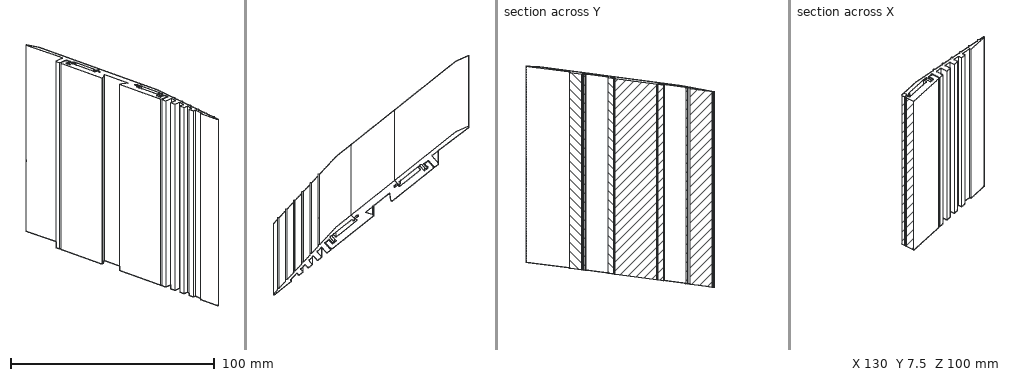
import cadquery as cq
import math

LENGTH = 100.0
WIDTH = 130.0
HEIGHT = 7.5
CENTRE_X = 60.0

SEAM = 14.0
RECESS_END = 11.5
RECESS_CHAMFER = 0.4
CAVITY_END = 13.6
CAVITY_FLOOR = 3.5
LEDGE_TOP = 4.75
COVER_UNDERSIDE = 5.5
WALL_INNER = 27.2
WALL_OUTER = 28.3
WALL_TOP = 5.2
SLOT_FLOOR = 1.9
LIP_INNER = 30.8
BASE_EDGE = 33.0
LIP_TOP = 4.6
BASE_CHAMFER = 0.45
DOVETAIL_TOP = 7.7
DOVETAIL_MOUTH = 5.75
DOVETAIL_ROOF = 4.0
DOVETAIL_LAND = 0.9

LEG_INNER = 33.35
LIP_ROOF = 4.8
HOOK_OUTER = 30.4
HOOK_INNER = 29.5
HOOK_ROOT_CHAMFER = 0.4
STOP_OUTER = 15.2
STOP_INNER = 14.2
STOP_BOTTOM = 4.3
STOP_CHAMFER = 0.3
TONGUE_TIP = 12.1
TONGUE_CHAMFER = 0.4
TONGUE_BOTTOM = LEDGE_TOP

LEFT_TIP_BOTTOM = 5.0
LEFT_TIP_TOP = 5.7
LEFT_SLOPE_ANGLE = 15.0
LEFT_SLOPE_LENGTH = (HEIGHT - LEFT_TIP_TOP) / math.tan(math.radians(LEFT_SLOPE_ANGLE))
LEFT_FLAT_START = 20.0
LEFT_LEG_OUTER = 36.2
LEG_CHAMFER = 0.5

TIP_FILLET = 0.3

RAMP_START = 83.7
RIGHT_TIP_HEIGHT = 0.55
RIB_PITCH = 6.0
RIB_WIDTH = 2.8
RIB_COUNT = 3
RIGHT_LEG_OUTER = 36.0
RIGHT_LEG_OUTER_X = CENTRE_X + RIGHT_LEG_OUTER
WEDGE_START = 118.8
CEILING_START = 4.1
CEILING_END = 0.8
RIDGE_COUNT = 6
RIDGE_START = 96.3
RIDGE_RADIUS = 0.5

RAMP_SLOPE = (HEIGHT - RIGHT_TIP_HEIGHT) / (WIDTH - RAMP_START)
CEILING_SLOPE = (CEILING_START - CEILING_END) / (WEDGE_START - RIGHT_LEG_OUTER_X)


def prism(points):
    return cq.Workplane("XY").polyline(points).close().extrude(LENGTH)


def place(half_points, side):
    """Turn (distance from symmetry plane, height) into XY points; side is -1 left, +1 right."""
    return [(CENTRE_X + side * distance, y) for distance, y in half_points]


def base_rail():
    half = [
        (SEAM, HEIGHT),
        (SEAM, COVER_UNDERSIDE),
        (RECESS_END + RECESS_CHAMFER, COVER_UNDERSIDE),
        (RECESS_END, COVER_UNDERSIDE - RECESS_CHAMFER),
        (RECESS_END, LEDGE_TOP),
        (CAVITY_END, LEDGE_TOP),
        (CAVITY_END, CAVITY_FLOOR),
        (WALL_INNER, CAVITY_FLOOR),
        (WALL_INNER, WALL_TOP),
        (WALL_OUTER, WALL_TOP),
        (WALL_OUTER, SLOT_FLOOR),
        (LIP_INNER, SLOT_FLOOR),
        (LIP_INNER, LIP_TOP),
        (BASE_EDGE - BASE_CHAMFER, LIP_TOP),
        (BASE_EDGE, LIP_TOP - BASE_CHAMFER),
        (BASE_EDGE, BASE_CHAMFER),
        (BASE_EDGE - BASE_CHAMFER, 0),
        (DOVETAIL_MOUTH, 0),
        (DOVETAIL_MOUTH, DOVETAIL_LAND),
        (DOVETAIL_TOP, DOVETAIL_ROOF),
    ]
    return prism(place(half, -1) + place(half[::-1], 1))


CLIP = [
    (LEG_INNER, 0),
    (LEG_INNER, LIP_ROOF),
    (HOOK_OUTER, LIP_ROOF),
    (HOOK_OUTER, SLOT_FLOOR),
    (HOOK_INNER, SLOT_FLOOR),
    (HOOK_INNER, COVER_UNDERSIDE - HOOK_ROOT_CHAMFER),
    (HOOK_INNER - HOOK_ROOT_CHAMFER, COVER_UNDERSIDE),
    (STOP_OUTER, COVER_UNDERSIDE),
    (STOP_OUTER, STOP_BOTTOM + STOP_CHAMFER),
    (STOP_OUTER - STOP_CHAMFER, STOP_BOTTOM),
    (STOP_INNER + STOP_CHAMFER, STOP_BOTTOM),
    (STOP_INNER, STOP_BOTTOM + STOP_CHAMFER),
    (STOP_INNER, TONGUE_BOTTOM),
    (TONGUE_TIP, TONGUE_BOTTOM),
    (TONGUE_TIP, COVER_UNDERSIDE - TONGUE_CHAMFER),
    (TONGUE_TIP + TONGUE_CHAMFER, COVER_UNDERSIDE),
    (SEAM, COVER_UNDERSIDE),
    (SEAM, HEIGHT),
]


def left_cover():
    leg_x = CENTRE_X - LEFT_LEG_OUTER
    outline = place(CLIP, -1) + [
        (LEFT_SLOPE_LENGTH, HEIGHT),
        (0, LEFT_TIP_TOP),
        (0, LEFT_TIP_BOTTOM),
        (LEFT_FLAT_START, COVER_UNDERSIDE),
        (leg_x, COVER_UNDERSIDE),
        (leg_x, LEG_CHAMFER),
        (leg_x + LEG_CHAMFER, 0),
    ]
    cover = prism(outline)
    lower_tip_edge = cq.selectors.NearestToPointSelector((0, LEFT_TIP_BOTTOM, LENGTH / 2))
    return cover.edges("|Z").edges(lower_tip_edge).fillet(TIP_FILLET)


def ramp_top(x):
    return HEIGHT - RAMP_SLOPE * (x - RAMP_START)


def ceiling(x):
    return CEILING_START - CEILING_SLOPE * (x - RIGHT_LEG_OUTER_X)


def right_cover():
    outline = place(CLIP, 1) + [
        (RAMP_START, HEIGHT),
        (WIDTH, RIGHT_TIP_HEIGHT),
        (WIDTH, 0),
        (WEDGE_START, 0),
        (WEDGE_START, CEILING_END),
    ]
    for rib in range(RIB_COUNT, 0, -1):
        rib_end = RIGHT_LEG_OUTER_X + rib * RIB_PITCH
        rib_start = rib_end - RIB_WIDTH
        outline += [
            (rib_end, ceiling(rib_end)),
            (rib_end, 0),
            (rib_start, 0),
            (rib_start, ceiling(rib_start)),
        ]
    outline += [(RIGHT_LEG_OUTER_X, CEILING_START), (RIGHT_LEG_OUTER_X, 0)]
    cover = prism(outline)
    lower_tip_edge = cq.selectors.NearestToPointSelector((WIDTH, 0, LENGTH / 2))
    cover = cover.edges("|Z").edges(lower_tip_edge).fillet(TIP_FILLET)
    for ridge_index in range(RIDGE_COUNT):
        x = RIDGE_START + ridge_index * RIB_PITCH
        ridge = cq.Workplane("XY").center(x, ramp_top(x)).circle(RIDGE_RADIUS).extrude(LENGTH)
        cover = cover.union(ridge)
    return cover


base = base_rail()
level_cover = left_cover()
ramp_cover = right_cover()

result = cq.Compound.makeCompound([base.val(), level_cover.val(), ramp_cover.val()])